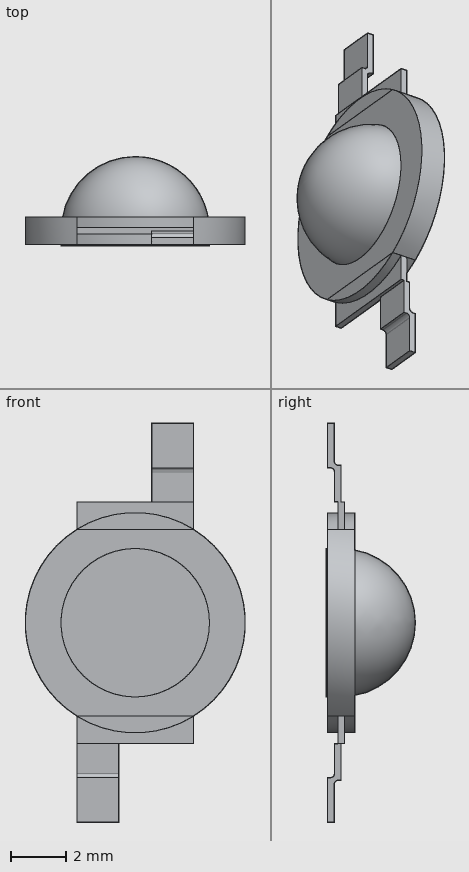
import cadquery as cq
import math

housing_diameter = 8.0
housing_thickness = 1.0
lens_diameter = 5.4
lens_protrusion = 0.051
plate_width = 4.23
plate_end = 4.4
foot_width = 1.52
foot_start = 5.63
lead_length = 7.25
step_overlap = 0.1
bend_radius = 0.15

housing_radius = housing_diameter / 2
lens_radius = lens_diameter / 2
mid_plane = housing_thickness / 2
sheet_thickness = housing_thickness / 4
flat_distance = math.sqrt(housing_radius**2 - (plate_width / 2) ** 2)
neck_end = foot_start + step_overlap


def box(x_start, x_end, y_start, y_end, z_start, z_end):
    """Box between the given limits along each axis."""
    size = (x_end - x_start, y_end - y_start, z_end - z_start)
    return cq.Workplane("XY").box(*size, centered=False).translate((x_start, y_start, z_start))


def disc(radius, y_start, y_end):
    """Cylinder around the Y axis."""
    return cq.Workplane("XZ", origin=(0, y_start, 0)).circle(radius).extrude(y_start - y_end)


def make_housing():
    """Round plate with two opposite flats and a through bore for the lens."""
    flats = box(-housing_radius, housing_radius, 0, housing_thickness, -flat_distance, flat_distance)
    bore = disc(lens_radius, 0, mid_plane)
    ball = cq.Workplane("XY").sphere(lens_radius).translate((0, mid_plane, 0))
    return disc(housing_radius, 0, housing_thickness).intersect(flats).cut(bore).cut(ball)


def make_lens():
    """Cylindrical base that ends in a hemispherical dome, revolved around Y."""
    dome_tip = mid_plane + lens_radius
    arc_offset = lens_radius * math.sqrt(0.5)
    return (
        cq.Workplane("XY")
        .moveTo(0, -lens_protrusion)
        .lineTo(lens_radius, -lens_protrusion)
        .lineTo(lens_radius, mid_plane)
        .threePointArc((arc_offset, mid_plane + arc_offset), (0, dome_tip))
        .close()
        .revolve(360, (0, 0, 0), (0, 1, 0))
    )


def make_lead():
    """Upper lead: segment completing the round housing, wide plate, and stepped foot."""
    half_width = plate_width / 2
    outside_flat = box(-half_width, half_width, 0, housing_thickness, flat_distance, housing_radius)
    segment = disc(housing_radius, 0, housing_thickness).intersect(outside_flat)

    plate_front = mid_plane - sheet_thickness / 2
    plate_back = mid_plane + sheet_thickness / 2
    plate = box(-half_width, half_width, plate_front, plate_back, flat_distance, plate_end)

    foot = (
        cq.Workplane("YZ", origin=(half_width - foot_width, 0, 0))
        .moveTo(sheet_thickness, plate_end)
        .lineTo(sheet_thickness, foot_start - bend_radius)
        .radiusArc((sheet_thickness - bend_radius, foot_start), -bend_radius)
        .lineTo(0, foot_start)
        .lineTo(0, lead_length)
        .lineTo(sheet_thickness, lead_length)
        .lineTo(sheet_thickness, neck_end + bend_radius)
        .radiusArc((sheet_thickness + bend_radius, neck_end), -bend_radius)
        .lineTo(mid_plane, neck_end)
        .lineTo(mid_plane, flat_distance)
        .lineTo(plate_front, flat_distance)
        .lineTo(plate_front, plate_end)
        .close()
        .extrude(foot_width)
    )
    return segment.union(plate).union(foot)


housing = make_housing()
lens = make_lens()
leads = []
for angle in (0, 180):
    leads.append(make_lead().rotate((0, 0, 0), (0, 1, 0), angle).val())

result = cq.Compound.makeCompound([housing.val(), lens.val(), *leads])